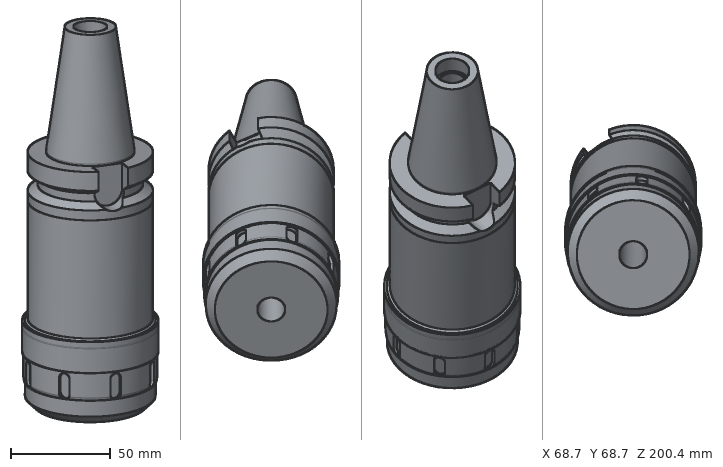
import cadquery as cq

gauge_z = 135.0
taper_length = 65.4
top_z = gauge_z + taper_length
flange_top_z = gauge_z - 1.0
flange_bottom_z = 124.0
groove_top_z = 121.0
groove_bottom_z = 116.6
collar_top_z = 113.6
seam_z = 108.3
nut_top_z = 45.6
nut_shoulder_z = 44.6
nut_collar_bottom_z = 41.5
nut_band_top_z = 41.1
nut_band_bottom_z = 28.1
nut_grip_bottom_z = 14.8
nut_step_z = 13.2
nose_chamfer_z = 4.6

taper_top_radius = 12.9
taper_large_radius = 44.45 / 2
flange_radius = 63.0 / 2
groove_radius = 53.0 / 2
body_radius = 62.9 / 2
collar_radius = flange_radius
nut_shoulder_radius = 32.9
nut_collar_radius = 34.25
nut_radius = 68.7 / 2
grip_radius = 33.7
grip_step_radius = 33.4
nose_radius = 32.9
nose_face_radius = 28.3

bore_diameter = 14.0
counterbore_diameter = 17.0
counterbore_depth = 9.0

notch_width = 16.1
notch_wall_x = 22.5
notch_bottom_z = 112.5

slot_count = 8
slot_width = 5.7
slot_top_z = 27.0
slot_bottom_z = 13.2
slot_floor_radius = 31.6


def make_turned_body():
    """Revolve the half section of the holder and nut about Z."""
    section = [
        (0, 0),
        (nose_face_radius, 0),
        (nose_radius, nose_chamfer_z),
        (nose_radius, nut_step_z),
        (grip_step_radius, nut_step_z),
        (grip_radius, nut_grip_bottom_z),
        (grip_radius, nut_band_bottom_z),
        (nut_radius, nut_band_bottom_z),
        (nut_radius, nut_band_top_z),
        (nut_collar_radius, nut_collar_bottom_z),
        (nut_collar_radius, nut_shoulder_z),
        (nut_shoulder_radius, nut_shoulder_z),
        (body_radius, nut_top_z),
        (body_radius, seam_z),
        (collar_radius, seam_z),
        (collar_radius, collar_top_z),
        (groove_radius, groove_bottom_z),
        (groove_radius, groove_top_z),
        (flange_radius, flange_bottom_z),
        (flange_radius, flange_top_z),
        (taper_large_radius, flange_top_z),
        (taper_large_radius, gauge_z),
        (taper_top_radius, top_z),
        (0, top_z),
    ]
    return cq.Workplane("XZ").polyline(section).close().revolve(360, (0, 0), (0, 1))


def make_bore():
    """Through bore with a counterbore at the small end of the taper."""
    bore = cq.Workplane("XY").circle(bore_diameter / 2).extrude(top_z)
    counterbore = (
        cq.Workplane("XY", origin=(0, 0, top_z - counterbore_depth))
        .circle(counterbore_diameter / 2)
        .extrude(counterbore_depth)
    )
    return bore.union(counterbore)


def make_notch():
    """Round-bottomed drive notch on the +X side, open at the flange top."""
    half_width = notch_width / 2
    arc_start_z = notch_bottom_z + half_width
    return (
        cq.Workplane("YZ", origin=(notch_wall_x, 0, 0))
        .moveTo(-half_width, flange_top_z)
        .lineTo(-half_width, arc_start_z)
        .threePointArc((0, notch_bottom_z), (half_width, arc_start_z))
        .lineTo(half_width, flange_top_z)
        .close()
        .extrude(flange_radius)
    )


def make_slot():
    """Flat-floored spanner slot with rounded ends on the +X side of the nut."""
    return (
        cq.Workplane("YZ", origin=(slot_floor_radius, 0, 0))
        .center(0, (slot_top_z + slot_bottom_z) / 2)
        .slot2D(slot_top_z - slot_bottom_z, slot_width, 90)
        .extrude(nut_radius)
    )


def rotated(shape, angle):
    return shape.rotate((0, 0, 0), (0, 0, 1), angle)


result = make_turned_body().cut(make_bore())

for notch_angle in (0, 180):
    result = result.cut(rotated(make_notch(), notch_angle))

for slot_index in range(slot_count):
    result = result.cut(rotated(make_slot(), slot_index * 360 / slot_count))